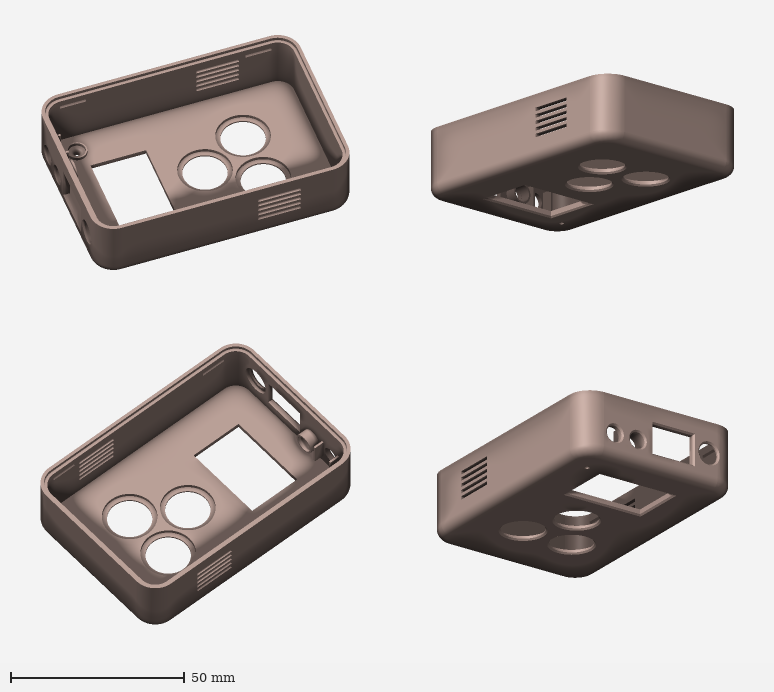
import cadquery as cq
import math

length = 79.0
width = 54.0
height = 20.0
wall = 2.0
floor = 2.0
corner_radius = 7.0
bottom_fillet = 3.0
rim_width = 1.0
rim_depth = 1.0

front_y = -length / 2
inner_front_y = front_y + wall
inner_side_x = width / 2 - wall

edge_chamfer = 0.5

window_pitch = 17.1
window_diameter = 13.1
seat_diameter = 16.0
seat_depth = 1.0
window_row_y = 17.7

display_size_x = 25.9
display_size_y = 17.1
display_y = -18.95

mic_x = -18.95
mic_y = -29.5
mic_ring_outer = 6.0
mic_ring_inner = 5.1
mic_ring_height = 1.0
mic_hole_diameter = 1.5
mic_flare_radius = 1.0

button_x = -16.0
led_x = -8.0
button_z = 8.0
button_diameter = 5.1
jack_x = 17.0
jack_z = 10.0
jack_diameter = 6.5
jack_relief_diameter = 8.7
jack_wall = 1.0
port_x = 4.5
port_z = 9.8
port_size_x = 14.0
port_size_z = 9.3

support_depth = 3.2
led_tube_diameter = 6.3
led_socket_diameter = 5.2
bracket_width = 7.4
bracket_gap = 6.2
rib_height = 6.5

vent_count = 5
vent_pitch = 2.0
vent_length = 13.0
vent_height = 1.0
vent_y = 15.95
vent_z = 11.4

groove_length = 8.0
groove_y = 28.45
groove_z = 16.35
groove_height = 1.0
groove_depth = groove_height / 2


def rounded_block(inset, bottom, top):
    """Block with the case outline moved inward by inset."""
    return (
        cq.Workplane("XY", origin=(0, 0, bottom))
        .rect(width - 2 * inset, length - 2 * inset)
        .extrude(top - bottom)
        .edges("|Z")
        .fillet(corner_radius - inset)
    )


def make_shell():
    outside = rounded_block(0, 0, height).faces("<Z").edges().fillet(bottom_fillet)
    cavity = rounded_block(wall, floor, height)
    rim_step = rounded_block(rim_width, height - rim_depth, height)
    return outside.cut(cavity).cut(rim_step)


def vertical_cylinder(x, y, diameter, bottom, top):
    base = cq.Workplane("XY", origin=(x, y, bottom))
    return base.circle(diameter / 2).extrude(top - bottom)


def front_plane(x, y, z):
    """Workplane facing the front, so that extrusion runs toward -Y."""
    return cq.Workplane("XZ", origin=(x, y, z))


def cut_windows(body):
    centres = [
        (-window_pitch / 2, window_row_y),
        (window_pitch / 2, window_row_y),
        (0, window_row_y - window_pitch * math.sin(math.radians(60))),
    ]
    for x, y in centres:
        window = vertical_cylinder(x, y, window_diameter, 0, floor)
        seat = vertical_cylinder(x, y, seat_diameter, floor - seat_depth, floor)
        chamfer = (
            cq.Workplane("XY", origin=(x, y, 0))
            .circle(window_diameter / 2 + edge_chamfer)
            .workplane(offset=edge_chamfer)
            .circle(window_diameter / 2)
            .loft()
        )
        body = body.cut(window).cut(seat).cut(chamfer)
    return body


def cut_display(body):
    base = cq.Workplane("XY", origin=(0, display_y, 0))
    opening = base.rect(display_size_x, display_size_y).extrude(floor)
    chamfer = (
        base.rect(display_size_x + 2 * edge_chamfer, display_size_y + 2 * edge_chamfer)
        .workplane(offset=edge_chamfer)
        .rect(display_size_x, display_size_y)
        .loft()
    )
    return body.cut(opening).cut(chamfer)


def add_mic_holder(body):
    ring_top = floor + mic_ring_height
    ring = vertical_cylinder(mic_x, mic_y, mic_ring_outer, floor, ring_top)
    ring = ring.cut(vertical_cylinder(mic_x, mic_y, mic_ring_inner, floor, ring_top))

    hole_radius = mic_hole_diameter / 2
    flare_start = floor - mic_flare_radius
    flare_mid_offset = mic_flare_radius * math.sin(math.radians(45))
    sound_hole = (
        cq.Workplane("XZ", origin=(mic_x, mic_y, 0))
        .lineTo(hole_radius, 0)
        .lineTo(hole_radius, flare_start)
        .threePointArc(
            (hole_radius + mic_flare_radius - flare_mid_offset, flare_start + flare_mid_offset),
            (hole_radius + mic_flare_radius, floor),
        )
        .lineTo(0, floor)
        .close()
        .revolve(360, (0, 0, 0), (0, 1, 0))
    )
    return body.union(ring).cut(sound_hole)


def add_supports(body):
    support_y = inner_front_y + support_depth
    depth_into_wall = support_depth + wall / 2
    tube = front_plane(led_x, support_y, button_z).circle(led_tube_diameter / 2)
    body = body.union(tube.extrude(depth_into_wall))

    rib_thickness = (bracket_width - bracket_gap) / 2
    for side in (-1, 1):
        rib_x = button_x + side * (bracket_gap + rib_thickness) / 2
        rib = front_plane(rib_x, support_y, button_z).rect(rib_thickness, rib_height)
        body = body.union(rib.extrude(depth_into_wall))
    return body


def cut_round_opening(body, x, z, diameter):
    bore = front_plane(x, inner_front_y, z).circle(diameter / 2).extrude(wall)
    chamfer = (
        front_plane(x, front_y + edge_chamfer, z)
        .circle(diameter / 2)
        .workplane(offset=edge_chamfer)
        .circle(diameter / 2 + edge_chamfer)
        .loft()
    )
    return body.cut(bore).cut(chamfer)


def cut_led_socket(body):
    socket = front_plane(led_x, inner_front_y + support_depth, button_z)
    return body.cut(socket.circle(led_socket_diameter / 2).extrude(support_depth))


def cut_jack_relief(body):
    """Thin the front wall from inside around the jack, reaching into the corner."""
    relief_back_y = front_y + corner_radius
    relief = front_plane(jack_x, relief_back_y, jack_z).circle(jack_relief_diameter / 2)
    return body.cut(relief.extrude(corner_radius - jack_wall))


def cut_port(body):
    opening = front_plane(port_x, inner_front_y, port_z).rect(port_size_x, port_size_z)
    chamfer = (
        front_plane(port_x, front_y + edge_chamfer, port_z)
        .rect(port_size_x, port_size_z)
        .workplane(offset=edge_chamfer)
        .rect(port_size_x + 2 * edge_chamfer, port_size_z + 2 * edge_chamfer)
        .loft()
    )
    return body.cut(opening.extrude(wall)).cut(chamfer)


def cut_vents(body):
    for row in range(vent_count):
        z = vent_z + (row - (vent_count - 1) / 2) * vent_pitch
        slot = cq.Workplane("XY").box(width, vent_length, vent_height)
        body = body.cut(slot.translate((0, vent_y, z)))
    return body


def cut_snap_grooves(body):
    for side in (-1, 1):
        wall_x = side * inner_side_x
        for y in (-groove_y, groove_y):
            groove = (
                cq.Workplane("XZ", origin=(0, y, groove_z))
                .moveTo(wall_x, -groove_height / 2)
                .lineTo(wall_x + side * groove_depth, 0)
                .lineTo(wall_x, groove_height / 2)
                .close()
                .extrude(groove_length / 2, both=True)
            )
            body = body.cut(groove)
    return body


result = make_shell()
result = cut_windows(result)
result = cut_display(result)
result = add_mic_holder(result)
result = add_supports(result)
result = cut_round_opening(result, button_x, button_z, button_diameter)
result = cut_round_opening(result, led_x, button_z, button_diameter)
result = cut_led_socket(result)
result = cut_round_opening(result, jack_x, jack_z, jack_diameter)
result = cut_jack_relief(result)
result = cut_port(result)
result = cut_vents(result)
result = cut_snap_grooves(result)